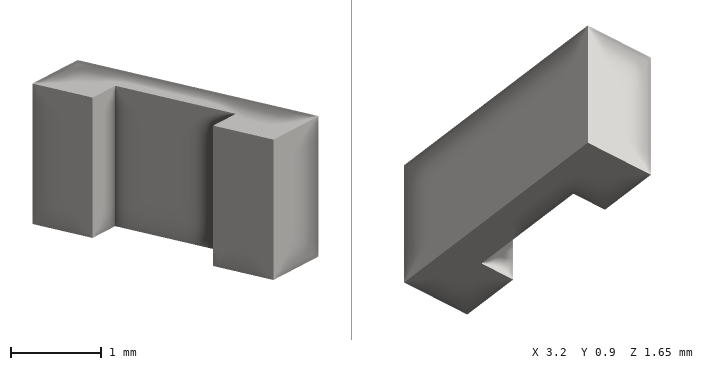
import cadquery as cq

length = 3.2
depth = 0.9
height = 1.65

terminal_length = length / 4
core_length = length - 2 * terminal_length

core_depth = depth / 2
back_y = depth / 2


def make_block(block_length, block_depth, center_x):
    """Full-height block centred at center_x, with its back face at back_y."""
    center_y = back_y - block_depth / 2
    return cq.Workplane("XY").box(block_length, block_depth, height).translate((center_x, center_y, 0))


def make_core():
    """Thin plate between the two terminals."""
    return make_block(core_length, core_depth, 0)


def make_terminal(side):
    """End block touching the core; side is -1 for the -X end and +1 for the +X end."""
    return make_block(terminal_length, depth, side * (core_length + terminal_length) / 2)


core = make_core()
terminals = [make_terminal(side) for side in (-1, 1)]

result = cq.Compound.makeCompound([core.val(), *[terminal.val() for terminal in terminals]])